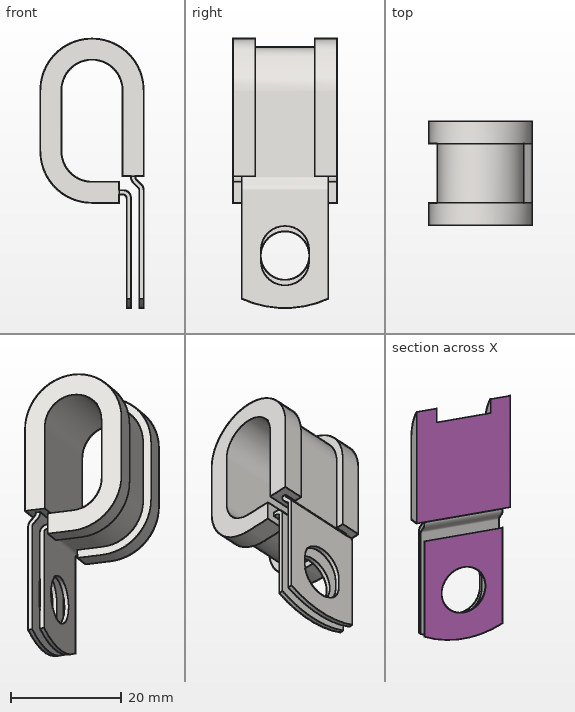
import cadquery as cq
import math

overall_height = 49.0
loop_width = 18.8
cushion_length = 18.9
cushion_thickness = 3.85
arc_center_spacing = 11.1
long_leg_end_z = 24.0
short_leg_end_x = 4.95

outer_radius = loop_width / 2
inner_radius = outer_radius - cushion_thickness
upper_center_z = overall_height - outer_radius
lower_center_z = upper_center_z - arc_center_spacing

groove_width = 10.8
groove_depth = 1.5
groove_floor_radius = outer_radius - groove_depth

strap_thickness = 0.85
strap_width = 15.8
bend_inner_radius = 0.65
bend_radius = bend_inner_radius + strap_thickness / 2
strap_embed = 0.5
short_tab_outer_x = 7.1
jog_middle_z = 22.65
tab_side_end_z = 1.7
hole_diameter = 8.77
hole_center_z = 9.55
slot_length = 10.8

strap_radius = groove_floor_radius - strap_thickness / 2
short_tab_x = short_tab_outer_x - strap_thickness / 2
long_tab_x = outer_radius - strap_thickness / 2


def loop_band(outside, inside, length):
    """Band between two radii following the J-shaped loop, centred on Y = 0."""
    return (
        cq.Workplane("XZ")
        .moveTo(outside, long_leg_end_z)
        .lineTo(outside, upper_center_z)
        .threePointArc((0, upper_center_z + outside), (-outside, upper_center_z))
        .lineTo(-outside, lower_center_z)
        .radiusArc((0, lower_center_z - outside), -outside)
        .lineTo(short_leg_end_x, lower_center_z - outside)
        .lineTo(short_leg_end_x, lower_center_z - inside)
        .lineTo(0, lower_center_z - inside)
        .radiusArc((-inside, lower_center_z), inside)
        .lineTo(-inside, upper_center_z)
        .threePointArc((0, upper_center_z + inside), (inside, upper_center_z))
        .lineTo(inside, long_leg_end_z)
        .close()
        .extrude(length / 2, both=True)
    )


def sweep_strap(path, tab_x):
    """Sweep the strap's rectangular section upward from the bottom of a tab."""
    section = cq.Workplane("XY").center(tab_x, 0).rect(strap_thickness, strap_width)
    return section.sweep(path)


def short_leg_strap():
    """Tab that turns through a right angle into the short lower leg."""
    strap_z = lower_center_z - strap_radius
    path = (
        cq.Workplane("XZ")
        .moveTo(short_tab_x, 0)
        .lineTo(short_tab_x, strap_z - bend_radius)
        .tangentArcPoint((short_tab_x - bend_radius, strap_z), relative=False)
        .lineTo(short_leg_end_x - strap_embed, strap_z)
    )
    return sweep_strap(path, short_tab_x)


def long_leg_strap():
    """Tab that jogs inward at 45 degrees into the end of the long leg."""
    half_jog = (long_tab_x - strap_radius) / 2
    arc_offset_x = bend_radius * (1 - math.cos(math.pi / 4))
    arc_rise = bend_radius * math.sin(math.pi / 4)
    diagonal_half = half_jog - arc_offset_x
    lower_arc_z = jog_middle_z - diagonal_half - arc_rise
    upper_arc_z = jog_middle_z + diagonal_half + arc_rise
    path = (
        cq.Workplane("XZ")
        .moveTo(long_tab_x, 0)
        .lineTo(long_tab_x, lower_arc_z)
        .tangentArcPoint((long_tab_x - arc_offset_x, lower_arc_z + arc_rise), relative=False)
        .lineTo(strap_radius + arc_offset_x, upper_arc_z - arc_rise)
        .tangentArcPoint((strap_radius, upper_arc_z), relative=False)
        .lineTo(strap_radius, long_leg_end_z + strap_embed)
    )
    return sweep_strap(path, long_tab_x)


def tab_outline():
    """Strap-wide block with a rounded lower end, spanning both tabs along X."""
    half_width = strap_width / 2
    return (
        cq.Workplane("YZ")
        .moveTo(-half_width, overall_height)
        .lineTo(-half_width, tab_side_end_z)
        .threePointArc((0, 0), (half_width, tab_side_end_z))
        .lineTo(half_width, overall_height)
        .close()
        .extrude(loop_width)
    )


def bolt_hole():
    """Round hole through the short leg's tab."""
    return (
        cq.Workplane("YZ")
        .center(0, hole_center_z)
        .circle(hole_diameter / 2)
        .extrude(loop_width)
    )


def bolt_slot():
    """Upright slot through the long leg's tab, as wide as the round hole."""
    return (
        cq.Workplane("YZ")
        .center(0, hole_center_z)
        .slot2D(slot_length, hole_diameter, 90)
        .extrude(loop_width)
    )


groove = loop_band(outer_radius, groove_floor_radius, groove_width)
cushion = loop_band(outer_radius, inner_radius, cushion_length).cut(groove)
short_strap = short_leg_strap().intersect(tab_outline()).cut(bolt_hole())
long_strap = long_leg_strap().intersect(tab_outline()).cut(bolt_slot())
result = cushion.union(short_strap).union(long_strap)